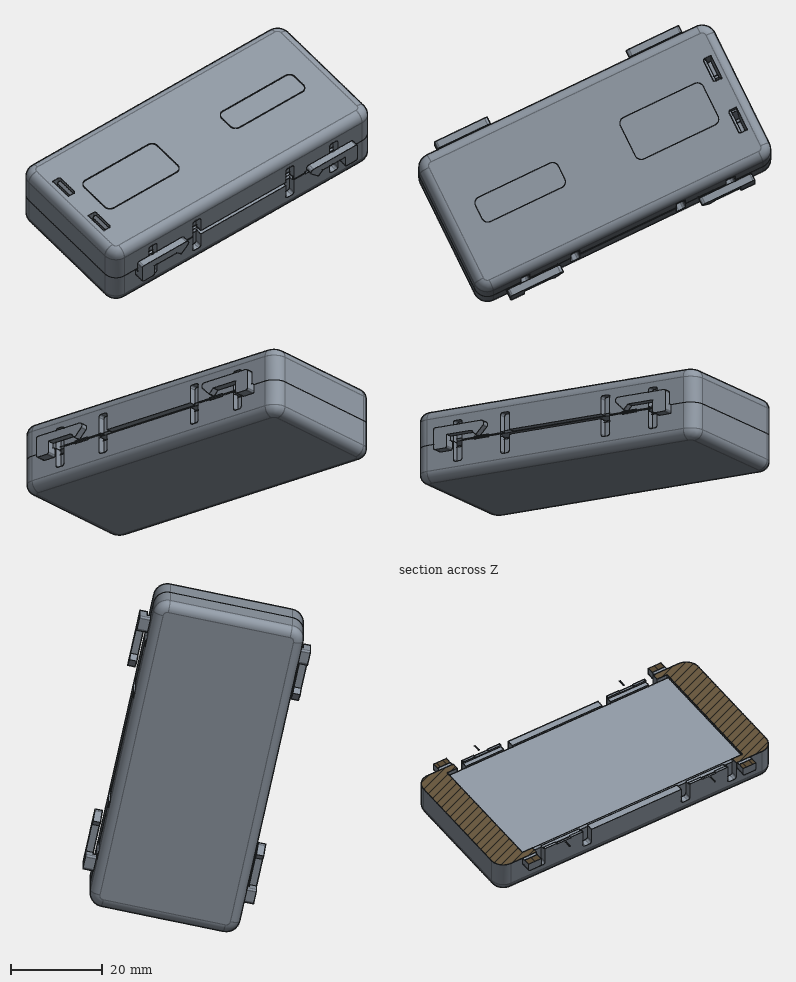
import cadquery as cq
import math

LENGTH = 71.3
WIDTH = 33.3
HEIGHT = 16.0
CORNER_RADIUS = 3.1
RIM_RADIUS = 2.15
SIDE_WALL = 1.65

CORE_WIDTH = WIDTH - 2 * SIDE_WALL
CORE_LENGTH = 57.05
CORE_TOP = HEIGHT / 2 - RIM_RADIUS
CABLE_GAP = 1.1
CORE_CHAMFER = 0.4

WINDOW_WIDTH = 2.2
WINDOW_HEIGHT = 9.3
WINDOW_RADIUS = 0.6
INNER_WINDOW_Y = 12.75
OUTER_WINDOW_Y = 24.8
SEAM_GAP = 0.2
SEAM_LIP_THICKNESS = 0.6
NOTCH_WIDTH = 3.6
NOTCH_HEIGHT = 0.65

HOOK_SPAN = 38.0
HOOK_THICKNESS = 1.65
HOOK_OUTER_Y = 29.5
HOOK_INNER_Y = 26.2
HOOK_TOP = 2.9
HOOK_BOTTOM = -2.0
ARM_BOTTOM = 1.0
BARB_Y = 18.8
BARB_TIP_Z = -0.15
HOOK_RADIUS = 0.4
NOSE_RADIUS = 0.7

LABEL_DEPTH = 0.2
LABEL_LENGTH = 20.0
LABEL_Y = 18.05
LABEL_RADIUS = 1.4
NUMBER_LABEL_WIDTH = 6.0
LOGO_LABEL_WIDTH = 10.2

SLOT_INNER_X = 3.6
SLOT_OUTER_X = 9.1
SLOT_BACK_Y = -30.6
SLOT_FRONT_Y = -32.5
SLOT_LIP = 0.9
SLOT_BEVEL = 0.65
SLOT_CORNER_RADIUS = 0.4
LATCH_TOP_X = 4.0
LATCH_FOOT_X = 5.05
LATCH_STEP_X = 5.7
LATCH_TOP_Z = 5.85
LATCH_ANGLE = 76.0
LATCH_STEP_HEIGHT = 0.7


def centered_box(x_size, y_size, z_size, center=(0, 0, 0)):
    return cq.Workplane("XY").box(x_size, y_size, z_size).translate(center)


def shell_half(z_sign):
    """Rounded half housing with an open core cavity, on one side of the seam plane."""
    outer = (
        centered_box(WIDTH, LENGTH, HEIGHT)
        .edges("|Z").fillet(CORNER_RADIUS)
        .faces("<Z or >Z").edges().fillet(RIM_RADIUS)
    )
    half = centered_box(WIDTH, LENGTH, HEIGHT / 2, (0, 0, z_sign * HEIGHT / 4))
    cavity = centered_box(CORE_WIDTH, CORE_LENGTH, 2 * CORE_TOP)
    return outer.intersect(half).cut(cavity).cut(side_openings())


def side_openings():
    """Cutter through both side walls: windows, cable gap, seam relief and hook notches.

    Beside the cable gap the walls close to a narrow seam only at a thin outer lip.
    """
    cable_length = 2 * INNER_WINDOW_Y + WINDOW_WIDTH
    seam_length = 2 * OUTER_WINDOW_Y + WINDOW_WIDTH
    openings = centered_box(WIDTH, cable_length, CABLE_GAP)
    openings = openings.union(centered_box(WIDTH, seam_length, SEAM_GAP))
    openings = openings.union(
        centered_box(WIDTH - 2 * SEAM_LIP_THICKNESS, seam_length, CABLE_GAP)
    )
    for side in (-1, 1):
        for window_y in (INNER_WINDOW_Y, OUTER_WINDOW_Y):
            window = centered_box(WIDTH, WINDOW_WIDTH, WINDOW_HEIGHT, (0, side * window_y, 0))
            openings = openings.union(window.edges("|X").fillet(WINDOW_RADIUS))
        notch = centered_box(WIDTH, NOTCH_WIDTH, NOTCH_HEIGHT, (0, side * BARB_Y, 0))
        openings = openings.union(notch)
    return openings


def label_recess(width, center_y):
    recess = centered_box(width, LABEL_LENGTH, 2 * LABEL_DEPTH, (0, center_y, HEIGHT / 2))
    return recess.edges("|Z").fillet(LABEL_RADIUS)


def latch_slot():
    """Slot cutter on the +X side: a bevelled mouth above a shaft with a ramped latch floor."""
    top = HEIGHT / 2
    lip_z = top - SLOT_LIP
    bevel_z = lip_z - SLOT_BEVEL
    shaft_back_y = SLOT_BACK_Y - SLOT_BEVEL
    foot_z = LATCH_TOP_Z - (LATCH_FOOT_X - LATCH_TOP_X) * math.tan(math.radians(LATCH_ANGLE))
    floor_z = foot_z - LATCH_STEP_HEIGHT

    mouth = (
        cq.Workplane("YZ").workplane(offset=SLOT_INNER_X)
        .moveTo(SLOT_FRONT_Y, top)
        .lineTo(SLOT_BACK_Y, top)
        .lineTo(SLOT_BACK_Y, lip_z)
        .lineTo(shaft_back_y, bevel_z)
        .lineTo(SLOT_FRONT_Y, bevel_z)
        .close()
        .extrude(SLOT_OUTER_X - SLOT_INNER_X)
        .edges("|Z and >Y").fillet(SLOT_CORNER_RADIUS)
    )
    shaft = (
        cq.Workplane("XZ", origin=(0, shaft_back_y, 0))
        .moveTo(SLOT_INNER_X, bevel_z)
        .lineTo(SLOT_INNER_X, LATCH_TOP_Z)
        .lineTo(LATCH_TOP_X, LATCH_TOP_Z)
        .lineTo(LATCH_FOOT_X, foot_z)
        .lineTo(LATCH_STEP_X, foot_z)
        .lineTo(LATCH_STEP_X, floor_z)
        .lineTo(SLOT_OUTER_X, floor_z)
        .lineTo(SLOT_OUTER_X, bevel_z)
        .close()
        .extrude(shaft_back_y - SLOT_FRONT_Y)
    )
    return mouth.union(shaft)


def snap_hook():
    """Hook on the +X, +Y side: an upright plate, carried by a root block below the seam."""
    plate_x = HOOK_SPAN / 2 - HOOK_THICKNESS
    nose_y = BARB_Y - (HOOK_TOP - BARB_TIP_Z)
    arm_joint_y = BARB_Y + (ARM_BOTTOM - BARB_TIP_Z)
    plate = (
        cq.Workplane("YZ").workplane(offset=plate_x)
        .moveTo(HOOK_OUTER_Y, HOOK_BOTTOM)
        .lineTo(HOOK_OUTER_Y, HOOK_TOP)
        .lineTo(nose_y, HOOK_TOP)
        .lineTo(BARB_Y, BARB_TIP_Z)
        .lineTo(arm_joint_y, ARM_BOTTOM)
        .lineTo(HOOK_INNER_Y, ARM_BOTTOM)
        .lineTo(HOOK_INNER_Y, HOOK_BOTTOM)
        .close()
        .extrude(HOOK_THICKNESS)
        .edges("|X and <Y").fillet(NOSE_RADIUS)
        .edges("|X and >Y").fillet(HOOK_RADIUS)
        .edges("|X and <Z").fillet(HOOK_RADIUS)
    )
    root_x = WIDTH / 2
    root = (
        cq.Workplane("YZ").workplane(offset=root_x)
        .moveTo(HOOK_OUTER_Y, HOOK_BOTTOM)
        .lineTo(HOOK_OUTER_Y, 0)
        .lineTo(HOOK_INNER_Y, 0)
        .lineTo(HOOK_INNER_Y, HOOK_BOTTOM)
        .close()
        .extrude(plate_x - root_x)
        .edges("|X and <Z").fillet(HOOK_RADIUS)
    )
    return plate.union(root)


def upper_shell():
    shell = shell_half(1)
    shell = shell.cut(label_recess(NUMBER_LABEL_WIDTH, LABEL_Y))
    shell = shell.cut(label_recess(LOGO_LABEL_WIDTH, -LABEL_Y))
    slot = latch_slot()
    return shell.cut(slot).cut(slot.mirror("YZ"))


def lower_shell():
    hook = snap_hook()
    hook_pair = hook.union(hook.mirror("XZ"))
    return shell_half(-1).union(hook_pair).union(hook_pair.mirror("YZ"))


def ferrite_core(z_sign):
    """Core block filling one half cavity, bevelled along the cable gap."""
    height = CORE_TOP - CABLE_GAP / 2
    center_z = z_sign * (CORE_TOP + CABLE_GAP / 2) / 2
    core = centered_box(CORE_WIDTH, CORE_LENGTH, height, (0, 0, center_z))
    gap_face = "<Z" if z_sign > 0 else ">Z"
    return core.faces(gap_face).edges("|Y").chamfer(CORE_CHAMFER)


shells = [upper_shell(), lower_shell()]
cores = [ferrite_core(z_sign) for z_sign in (-1, 1)]
result = cq.Compound.makeCompound([body.val() for body in shells + cores])